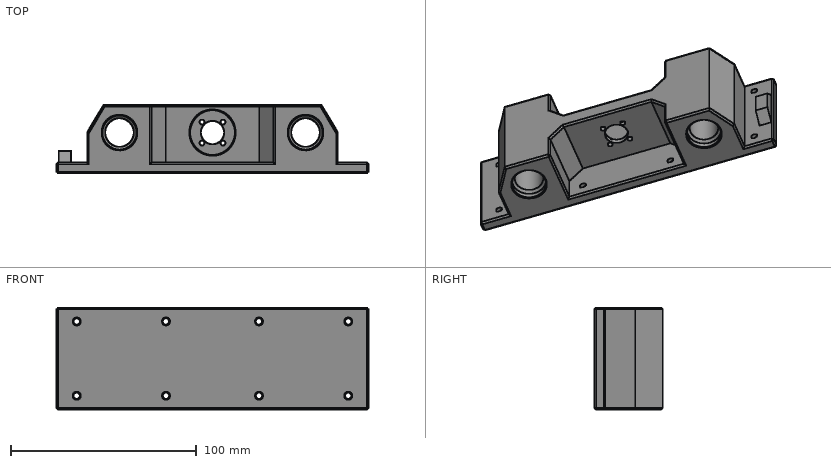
import cadquery as cq

length = 168.0
height = 55.0
plate_thickness = 6.0
edge_chamfer = 1.0

body_depth = 37.0
body_half_width = 67.5
shoulder_half_width = 58.6
shoulder_y = 22.0

saddle_half_width = 32.8
saddle_floor_half_width = 25.0
web_thickness = 10.0

bore_y = 22.0
rod_x = 50.0
rod_bore_diameter = 15.3
rod_seat_diameter = 18.3
rod_seat_depth = 3.5
nut_seat_diameter = 24.0
nut_seat_depth = 7.0
nut_bore_diameter = 12.5
nut_screw_diameter = 2.5
nut_screw_circle_diameter = 16.0
mouth_chamfer = 0.5

screw_x_inner = 25.0
screw_x_outer = 73.0
screw_z = 20.0
screw_diameter = 3.4
screw_mouth_chamfer = 0.5
screw_mouth_angle = 90
screw_reach = 2 * plate_thickness

tab_left_x = -82.8
tab_width = 6.7
tab_height = 6.0
tab_top_half_length = 6.0
tab_base_half_length = tab_top_half_length + tab_height

half_length = length / 2
half_height = height / 2
saddle_floor_z = web_thickness / 2
saddle_ramp_top_z = saddle_floor_z + saddle_half_width - saddle_floor_half_width


def z_cylinder(x, y, diameter, z_bottom, z_top):
    disc = cq.Workplane("XY", origin=(x, y, z_bottom)).circle(diameter / 2)
    return disc.extrude(z_top - z_bottom)


def countersink(x, y, diameter, depth, z_face, inward):
    """45 degree cone from a given diameter at z_face, narrowing along inward (+1 or -1 in Z)."""
    base = cq.Vector(x, y, z_face)
    direction = cq.Vector(0, 0, inward)
    radius = diameter / 2
    return cq.Workplane(cq.Solid.makeCone(radius, radius - depth, depth, base, direction))


def make_blank():
    """Plate and body, chamfered on the top and bottom rims, the plate ends and the back of the saddles."""
    profile = [
        (-half_length, 0),
        (-half_length, plate_thickness),
        (-body_half_width, plate_thickness),
        (-body_half_width, shoulder_y),
        (-shoulder_half_width, body_depth),
        (shoulder_half_width, body_depth),
        (body_half_width, shoulder_y),
        (body_half_width, plate_thickness),
        (half_length, plate_thickness),
        (half_length, 0),
    ]
    saddle_profile = [
        (-saddle_half_width, half_height),
        (-saddle_half_width, saddle_ramp_top_z),
        (-saddle_floor_half_width, saddle_floor_z),
        (saddle_floor_half_width, saddle_floor_z),
        (saddle_half_width, saddle_ramp_top_z),
        (saddle_half_width, half_height),
    ]
    blank = cq.Workplane("XY", origin=(0, 0, -half_height)).polyline(profile).close().extrude(height)
    saddle = (
        cq.Workplane("XZ", origin=(0, plate_thickness, 0))
        .polyline(saddle_profile)
        .close()
        .extrude(plate_thickness - body_depth)
    )
    blank = blank.cut(saddle).cut(saddle.mirror("XY"))
    saddle_back_zone = cq.selectors.BoxSelector(
        (-saddle_half_width - edge_chamfer, body_depth - edge_chamfer, edge_chamfer - half_height),
        (saddle_half_width + edge_chamfer, body_depth + edge_chamfer, half_height - edge_chamfer),
    )
    saddle_back_edges = blank.faces(">Y").edges(saddle_back_zone)
    plate_ends = blank.faces("<X or >X").edges("|Z")
    flat_rims = blank.faces("<Z or >Z").edges()
    edges = plate_ends.vals() + flat_rims.vals() + saddle_back_edges.vals()
    return blank.newObject(edges).chamfer(edge_chamfer)


def make_tab():
    outline = [
        (plate_thickness, -tab_base_half_length),
        (plate_thickness + tab_height, -tab_top_half_length),
        (plate_thickness + tab_height, tab_top_half_length),
        (plate_thickness, tab_base_half_length),
    ]
    return cq.Workplane("YZ", origin=(tab_left_x, 0, 0)).polyline(outline).close().extrude(tab_width)


def cut_rod_bore(part, x):
    part = part.cut(z_cylinder(x, bore_y, rod_bore_diameter, -half_height, half_height))
    mouth_diameter = rod_seat_diameter + 2 * mouth_chamfer
    step_depth = (rod_seat_diameter - rod_bore_diameter) / 2
    for side in (-1, 1):
        z_face = side * half_height
        z_seat = z_face - side * rod_seat_depth
        part = part.cut(z_cylinder(x, bore_y, rod_seat_diameter, z_seat, z_face))
        part = part.cut(countersink(x, bore_y, mouth_diameter, mouth_chamfer, z_face, -side))
        part = part.cut(countersink(x, bore_y, rod_seat_diameter, step_depth, z_seat, -side))
    return part


def cut_nut_seat(part):
    mouth_diameter = nut_seat_diameter + 2 * mouth_chamfer
    part = part.cut(z_cylinder(0, bore_y, nut_seat_diameter, saddle_floor_z - nut_seat_depth, saddle_floor_z))
    part = part.cut(countersink(0, bore_y, mouth_diameter, mouth_chamfer, saddle_floor_z, -1))
    part = part.cut(z_cylinder(0, bore_y, nut_bore_diameter, -saddle_floor_z, saddle_floor_z))
    screws = (
        cq.Workplane("XY", origin=(0, bore_y, -saddle_floor_z))
        .polarArray(nut_screw_circle_diameter / 2, 45, 360, 4)
        .circle(nut_screw_diameter / 2)
        .extrude(web_thickness)
    )
    return part.cut(screws)


def cut_plate_screws(part):
    places = [
        (x, z)
        for x in (-screw_x_outer, -screw_x_inner, screw_x_inner, screw_x_outer)
        for z in (-screw_z, screw_z)
    ]
    mouth_diameter = screw_diameter + 2 * screw_mouth_chamfer
    return (
        part.faces("<Y")
        .workplane(origin=(0, 0, 0))
        .pushPoints(places)
        .cskHole(screw_diameter, mouth_diameter, screw_mouth_angle, screw_reach)
    )


result = make_blank().union(make_tab())
for rod_side in (-1, 1):
    result = cut_rod_bore(result, rod_side * rod_x)
result = cut_nut_seat(result)
result = cut_plate_screws(result)